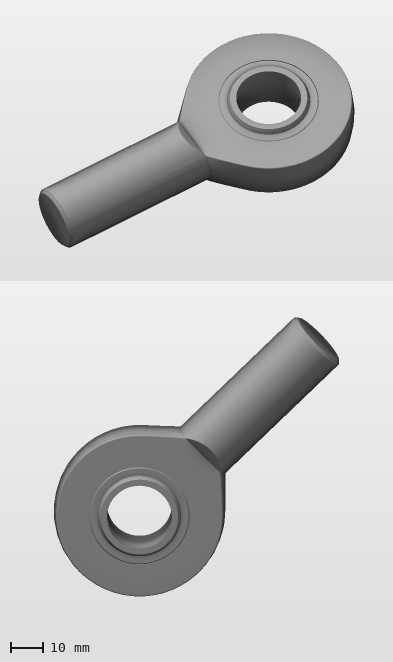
import cadquery as cq
import math

eye_radius = 26.5
eye_thickness = 12.9
half_thickness = eye_thickness / 2
edge_fillet = 0.4

total_length = 104.3
stem_diameter = 20.0
stem_radius = stem_diameter / 2
stem_end_chamfer = 1.0
stem_end_y = eye_radius - total_length

taper_angle = math.radians(45)
tangent_y = -eye_radius * math.sin(taper_angle)
tangent_radius = eye_radius * math.cos(taper_angle)
neck_end_y = tangent_y - (tangent_radius - stem_radius) / math.tan(taper_angle)

ramp_rise = stem_radius - half_thickness

race_diameter = 31.0
race_edge_chamfer = 0.3
ball_radius = 14.4
ball_width = 16.1
bore_diameter = 20.0


def centered_disc(diameter, height):
    """Cylinder along Z, centred on the origin."""
    return cq.Workplane("XY").circle(diameter / 2).extrude(height / 2, both=True)


def make_eye_and_neck():
    """Sphere and cone turned about Y, cut to two flat faces with rounded rims."""
    turned = (
        cq.Workplane("XY")
        .moveTo(0, eye_radius)
        .threePointArc((eye_radius, 0), (tangent_radius, tangent_y))
        .lineTo(stem_radius, neck_end_y)
        .lineTo(0, neck_end_y)
        .close()
        .revolve(360, (0, 0, 0), (0, 1, 0))
    )
    slab = cq.Workplane("XY").box(2 * eye_radius, 4 * eye_radius, eye_thickness)
    flattened = turned.intersect(slab)
    rims = flattened.faces("|Z").edges("not(<Y)")
    return rims.fillet(edge_fillet)


def make_stem():
    stem = (
        cq.Workplane("XZ", origin=(0, neck_end_y, 0))
        .circle(stem_radius)
        .extrude(neck_end_y - stem_end_y)
        .faces("<Y")
        .chamfer(stem_end_chamfer)
    )
    ramp = (
        cq.Workplane("YZ")
        .moveTo(neck_end_y, half_thickness)
        .lineTo(neck_end_y - ramp_rise, stem_radius)
        .lineTo(neck_end_y, stem_radius)
        .close()
        .extrude(stem_radius, both=True)
    )
    return stem.cut(ramp).cut(ramp.mirror("XY"))


def make_housing():
    race_seat = centered_disc(race_diameter, eye_thickness)
    return make_eye_and_neck().union(make_stem()).cut(race_seat)


def make_race():
    """Ring flush with the eye faces, with a spherical bore that holds the ball."""
    blank = centered_disc(race_diameter, eye_thickness).faces("|Z").chamfer(race_edge_chamfer)
    return blank.cut(cq.Workplane("XY").sphere(ball_radius))


def make_ball():
    width_limit = centered_disc(2 * ball_radius, ball_width)
    bore = centered_disc(bore_diameter, ball_width)
    return cq.Workplane("XY").sphere(ball_radius).intersect(width_limit).cut(bore)


housing = make_housing()
race = make_race()
ball = make_ball()

result = cq.Compound.makeCompound([housing.val(), race.val(), ball.val()])